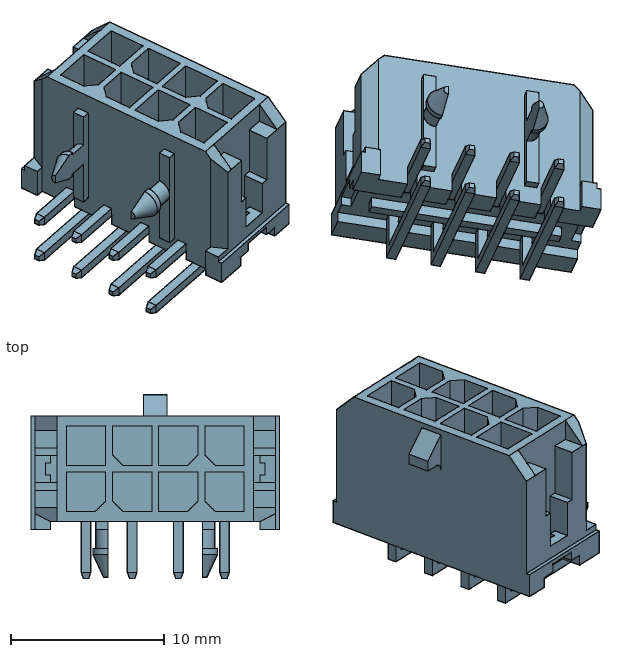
import cadquery as cq
import math


PITCH = 3.0
COLUMNS = 4
FRONT_ROW_Y = 1.94
REAR_ROW_Y = FRONT_ROW_Y + PITCH

BODY_DEPTH = FRONT_ROW_Y + REAR_ROW_Y
BODY_HEIGHT = 9.92
BODY_HALF = 7.81
TOP_CHAMFER = 1.42
SHOULDER_Z = BODY_HEIGHT - TOP_CHAMFER
CORE_HALF = BODY_HALF - TOP_CHAMFER
FLANGE_WIDTH = 16.15
FLANGE_HALF = FLANGE_WIDTH / 2
FLANGE_HEIGHT = 1.63

FRONT_STEP = 0.52
CORNER_INNER_X = 6.79
FOOT_HEIGHT = 2.03

CAVITY_SIZE = 2.56
CAVITY_CHAMFER = 0.68

RECESS_CENTRE_Y = 3.415
TOP_RECESS_WIDTH = 5.01
UPPER_SLOT_WIDTH = 2.77
UPPER_SLOT_FLOOR = 5.0
LOWER_SLOT_WIDTH = 1.76
LOWER_SLOT_FLOOR = 2.54
CAVITY_FLOOR = LOWER_SLOT_FLOOR
CLIP_POCKET_DEPTH = 0.38
CLIP_POCKET_X = CORNER_INNER_X
CLIP_TAB_WIDTH = 0.79
CLIP_TAB_X = 7.14

CHANNEL_FRONT_Y = 1.58
CHANNEL_REAR_Y = 5.3
CHANNEL_ROOF = 0.73
NOTCH_WIDTH = 1.98
NOTCH_TOP = 1.35
NOTCH_DEPTH = 0.66
RIB_WIDTH = 0.63

PIN_SIZE = 0.64
PIN_TIP_Y = -3.7
PIN_TAPER = 0.41
PIN_TIP_SIZE = 0.34
UPPER_PIN_Z = 1.01
LOWER_PIN_Z = -2.0

PEG_AXIS_X = 3.06
PEG_AXIS_Z = 5.32
PEG_RADIUS = 0.82
BARB_RADIUS = 1.0
BARB_START_Y = -1.74
BARB_END_Y = -2.13
PEG_TIP_Y = -3.62
PEG_TIP_RADIUS = 0.3
STRIP_BOTTOM = 1.3

LATCH_WIDTH = 1.55
LATCH_REACH = 1.37
LATCH_TOP = 9.55
LATCH_BOTTOM = 7.45
LATCH_FILLET = 0.5


def box(x_min, x_max, y_min, y_max, z_min, z_max):
    size = (x_max - x_min, y_max - y_min, z_max - z_min)
    return cq.Workplane("XY").box(*size, centered=False).translate((x_min, y_min, z_min))


def both_ends(shape):
    return shape.union(shape.mirror("YZ"))


def centred_box(x_min, x_max, width, z_min, z_max):
    return box(x_min, x_max, RECESS_CENTRE_Y - width / 2, RECESS_CENTRE_Y + width / 2, z_min, z_max)


def column_positions():
    return [(i - (COLUMNS - 1) / 2) * PITCH for i in range(COLUMNS)]


def housing_block():
    plan = [
        (-BODY_HALF, BODY_DEPTH),
        (-BODY_HALF, FRONT_STEP),
        (-CORNER_INNER_X, 0),
        (CORNER_INNER_X, 0),
        (BODY_HALF, FRONT_STEP),
        (BODY_HALF, BODY_DEPTH),
    ]
    block = cq.Workplane("XY").polyline(plan).close().extrude(BODY_HEIGHT)
    block = block.faces(">Z").edges("<X or >X").chamfer(TOP_CHAMFER)
    flange = box(-FLANGE_HALF, FLANGE_HALF, 0, BODY_DEPTH, 0, FLANGE_HEIGHT)
    foot = box(CORNER_INNER_X, BODY_HALF, -FRONT_STEP, FRONT_STEP, 0, FOOT_HEIGHT)
    foot_flange = box(CORNER_INNER_X, FLANGE_HALF, -FRONT_STEP, FRONT_STEP, 0, FLANGE_HEIGHT)
    return block.union(flange).union(both_ends(foot.union(foot_flange)))


def end_recesses():
    cut = centred_box(CORE_HALF, BODY_HALF, TOP_RECESS_WIDTH, SHOULDER_Z, BODY_HEIGHT)
    cut = cut.union(centred_box(CORE_HALF, BODY_HALF, UPPER_SLOT_WIDTH, UPPER_SLOT_FLOOR, BODY_HEIGHT))
    cut = cut.union(centred_box(CORE_HALF, BODY_HALF, LOWER_SLOT_WIDTH, LOWER_SLOT_FLOOR, BODY_HEIGHT))
    pocket_floor = LOWER_SLOT_FLOOR - CLIP_POCKET_DEPTH
    pocket = centred_box(CORE_HALF, CLIP_POCKET_X, LOWER_SLOT_WIDTH, pocket_floor, BODY_HEIGHT)
    tab = centred_box(CORE_HALF, CLIP_TAB_X, CLIP_TAB_WIDTH, pocket_floor, BODY_HEIGHT)
    return both_ends(cut.union(pocket).union(tab))


def underside_channel():
    channel = box(-FLANGE_HALF, FLANGE_HALF, CHANNEL_FRONT_Y, CHANNEL_REAR_Y, 0, CHANNEL_ROOF)
    notch = centred_box(FLANGE_HALF - NOTCH_DEPTH, FLANGE_HALF, NOTCH_WIDTH, 0, NOTCH_TOP)
    channel = channel.union(both_ends(notch))
    for x in column_positions():
        slot = box(x - PIN_SIZE / 2, x + PIN_SIZE / 2, 0, CHANNEL_FRONT_Y, 0, UPPER_PIN_Z)
        channel = channel.union(slot)
    return channel.cut(centred_box(-CORE_HALF, CORE_HALF, RIB_WIDTH, 0, CHANNEL_ROOF))


def cavity(x, y, key_corner):
    shape = cq.Workplane("XY").rect(CAVITY_SIZE, CAVITY_SIZE).extrude(BODY_HEIGHT - CAVITY_FLOOR)
    if key_corner:
        side = "<X" if key_corner == "left" else ">X"
        shape = shape.faces("<Y").edges(side).chamfer(CAVITY_CHAMFER)
    return shape.translate((x, y, CAVITY_FLOOR))


def cavities():
    front_keys = ("right", "left", "right", "left")
    rear_keys = (None, "left", "right", "left")
    shapes = cq.Workplane("XY")
    for y, keys in ((FRONT_ROW_Y, front_keys), (REAR_ROW_Y, rear_keys)):
        for x, key in zip(column_positions(), keys):
            shapes = shapes.add(cavity(x, y, key))
    return shapes.combine()


def straight_pin(x, y_end, z):
    """Square pin along Y with a tapered front tip."""
    shank_y = PIN_TIP_Y + PIN_TAPER
    half = PIN_SIZE / 2
    shank = box(x - half, x + half, shank_y, y_end, z - half, z + half)
    tip = (
        cq.Workplane("XZ", origin=(x, shank_y, z))
        .rect(PIN_SIZE, PIN_SIZE)
        .workplane(offset=PIN_TAPER)
        .rect(PIN_TIP_SIZE, PIN_TIP_SIZE)
        .loft()
    )
    return shank.union(tip)


def bent_pin(x):
    half = PIN_SIZE / 2
    leg_front = REAR_ROW_Y - half
    leg_rear = REAR_ROW_Y + half
    leg = box(x - half, x + half, leg_front, leg_rear, LOWER_PIN_Z - half, UPPER_PIN_Z)
    return straight_pin(x, leg_rear, LOWER_PIN_Z).union(leg)


def board_peg():
    """Half-round barbed peg; its flat side lies in the plane of the peg axis."""
    profile = [
        (0, 0),
        (PEG_RADIUS, 0),
        (PEG_RADIUS, BARB_START_Y),
        (BARB_RADIUS, BARB_START_Y),
        (BARB_RADIUS, BARB_END_Y),
        (PEG_TIP_RADIUS, PEG_TIP_Y),
        (0, PEG_TIP_Y),
    ]
    full_peg = cq.Workplane("XY").polyline(profile).close().revolve(360, (0, 0, 0), (0, 1, 0))
    full_peg = full_peg.translate((PEG_AXIS_X, 0, PEG_AXIS_Z))
    outer_half = box(
        PEG_AXIS_X,
        PEG_AXIS_X + BARB_RADIUS,
        PEG_TIP_Y,
        0,
        PEG_AXIS_Z - BARB_RADIUS,
        PEG_AXIS_Z + BARB_RADIUS,
    )
    strip = box(PEG_AXIS_X, PEG_AXIS_X + PEG_RADIUS, -FRONT_STEP, 0, STRIP_BOTTOM, SHOULDER_Z)
    return full_peg.intersect(outer_half).union(strip)


def latch():
    tip_y = BODY_DEPTH + LATCH_REACH
    arc_fraction = 1 - math.cos(math.radians(45))
    arc_mid = (BODY_DEPTH + LATCH_FILLET * arc_fraction, LATCH_BOTTOM - LATCH_FILLET * arc_fraction)
    return (
        cq.Workplane("YZ", origin=(-LATCH_WIDTH / 2, 0, 0))
        .moveTo(BODY_DEPTH, LATCH_TOP)
        .lineTo(tip_y, LATCH_TOP - LATCH_REACH)
        .lineTo(tip_y, LATCH_BOTTOM)
        .lineTo(BODY_DEPTH + LATCH_FILLET, LATCH_BOTTOM)
        .threePointArc(arc_mid, (BODY_DEPTH, LATCH_BOTTOM - LATCH_FILLET))
        .close()
        .extrude(LATCH_WIDTH)
    )


def header():
    part = housing_block()
    part = part.cut(end_recesses()).cut(underside_channel()).cut(cavities())
    part = part.union(both_ends(board_peg())).union(latch())
    for x in column_positions():
        part = part.union(straight_pin(x, FRONT_ROW_Y, UPPER_PIN_Z)).union(bent_pin(x))
    return part


result = header()